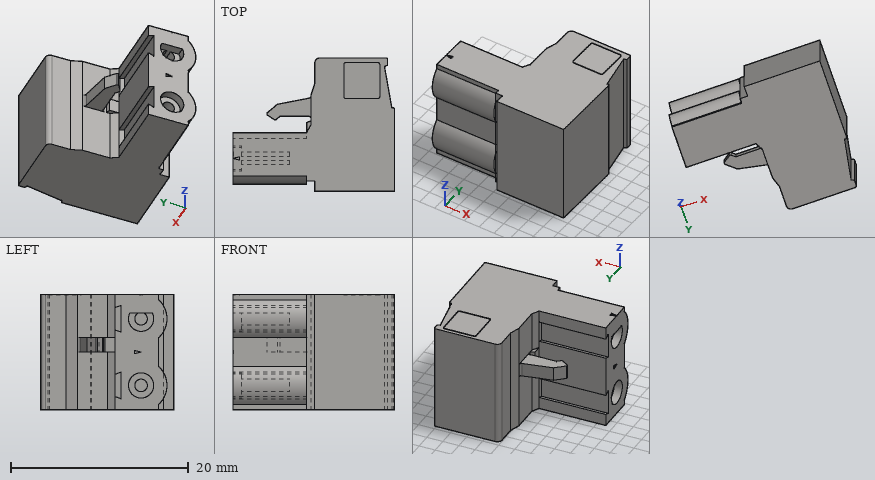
import cadquery as cq

length = 18.2
width = 15.0
height = 13.0

plug_length = 8.3
plug_top = 6.6
plug_bottom = 1.71
neck_bottom = 1.15
waist_x = 8.79
waist_bottom = 7.5
waist_top = 10.87
body_x = 9.21
shoulder_y = 12.14
corner_radius = 0.56
lip_x = 17.42
lip_bottom = 14.18
lip_corner_radius = 0.2
undercut_x = 17.07
undercut_y = 14.01
slope_x = 17.89
slope_y = 9.4
heel_corner_size = 0.11

pitch = 7.5
chamber_y = 3.7
lower_chamber_z = 2.75
chamber_z = [lower_chamber_z, lower_chamber_z + pitch]
entry_radius = 1.42
entry_depth = 1.0
bore_radius = 0.71
bore_depth = 6.37
bore_ceiling = 10.92
rib_radius = 2.91

groove_floor = 5.93
groove_mouth_width = 2.53
groove_floor_width = 3.0

latch_z = height / 2
latch_width = 1.65
latch_root_radius = 0.22
latch_root_overlap = 0.18
latch_arm_top = 10.48
latch_root_top = latch_arm_top + latch_root_radius
latch_arm_bottom = 8.4
latch_knee_x = 5.0
latch_knee_y = 9.8
latch_tip_x = 3.82
latch_tip_top = 8.79
latch_tip_bottom = 8.6
latch_hook_x = 4.77
latch_hook_y = 7.97
latch_hook_radius = 0.18
latch_catch_x = 5.3
stop_front_top = 7.74
stop_back_top = 7.92

mark_depth = 0.07
mark_length = 0.75
mark_half_width = 0.18
label_size = 4.04
label_x = 14.5
label_y = 12.45
label_corner_radius = 0.22


def make_body():
    return (
        cq.Workplane("XY")
        .moveTo(0, plug_bottom)
        .lineTo(plug_length, plug_bottom)
        .lineTo(plug_length, neck_bottom)
        .lineTo(body_x, neck_bottom)
        .lineTo(body_x, 0)
        .lineTo(length, 0)
        .lineTo(length, slope_y - heel_corner_size)
        .lineTo(length - heel_corner_size, slope_y)
        .lineTo(slope_x, slope_y)
        .lineTo(undercut_x, undercut_y)
        .lineTo(lip_x, lip_bottom)
        .lineTo(lip_x, width - lip_corner_radius)
        .tangentArcPoint((lip_x - lip_corner_radius, width), relative=False)
        .lineTo(body_x + corner_radius, width)
        .tangentArcPoint((body_x, width - corner_radius), relative=False)
        .lineTo(body_x, shoulder_y)
        .lineTo(waist_x, waist_top)
        .lineTo(waist_x, waist_bottom)
        .lineTo(plug_length, plug_top)
        .lineTo(0, plug_top)
        .close()
        .extrude(height)
    )


def x_cylinder(radius, depth, z):
    """Cylinder along +X from the plug face, on a chamber axis."""
    return cq.Workplane("YZ").center(chamber_y, z).circle(radius).extrude(depth)


def make_chamber(z):
    bore = x_cylinder(entry_radius, entry_depth, z).union(x_cylinder(bore_radius, bore_depth, z))
    below_ceiling = cq.Workplane("XY").box(length, width, bore_ceiling, centered=False)
    return bore.intersect(below_ceiling)


def make_groove(z):
    mouth = groove_mouth_width / 2
    floor = groove_floor_width / 2
    return (
        cq.Workplane("YZ")
        .polyline([
            (plug_top, z - mouth),
            (groove_floor, z - floor),
            (groove_floor, z + floor),
            (plug_top, z + mouth),
        ])
        .close()
        .extrude(plug_length)
    )


def make_latch():
    root_x = waist_x + latch_root_overlap
    fillet_x = waist_x - latch_root_radius
    plane = cq.Workplane("XY").workplane(offset=latch_z)
    arm = (
        plane.moveTo(root_x, latch_root_top)
        .lineTo(waist_x, latch_root_top)
        .radiusArc((fillet_x, latch_arm_top), latch_root_radius)
        .lineTo(latch_knee_x, latch_knee_y)
        .lineTo(latch_tip_x, latch_tip_top)
        .lineTo(latch_tip_x, latch_tip_bottom)
        .lineTo(latch_hook_x, latch_hook_y)
        .lineTo(latch_catch_x, latch_arm_bottom)
        .lineTo(fillet_x, latch_arm_bottom)
        .radiusArc((waist_x, latch_arm_bottom - latch_root_radius), latch_root_radius)
        .lineTo(root_x, latch_arm_bottom - latch_root_radius)
        .close()
        .extrude(latch_width)
    )
    hook_point = (latch_hook_x, latch_hook_y, latch_z + latch_width / 2)
    arm = arm.edges(cq.selectors.NearestToPointSelector(hook_point)).fillet(latch_hook_radius)
    stop = (
        plane.polyline([
            (root_x, plug_top),
            (plug_length, plug_top),
            (plug_length, stop_front_top),
            (waist_x, stop_back_top),
            (root_x, stop_back_top),
        ])
        .close()
        .extrude(latch_width)
    )
    return arm.union(stop)


def make_marks():
    """Pin-one triangles on the plug and the square label recess on top."""
    top_triangle = (
        cq.Workplane("XY")
        .workplane(offset=height - mark_depth)
        .polyline([
            (0, chamber_y),
            (mark_length, chamber_y - mark_half_width),
            (mark_length, chamber_y + mark_half_width),
        ])
        .close()
        .extrude(mark_depth)
    )
    face_triangle = (
        cq.Workplane("YZ")
        .polyline([
            (chamber_y, height / 2),
            (chamber_y + mark_length, height / 2 - mark_half_width),
            (chamber_y + mark_length, height / 2 + mark_half_width),
        ])
        .close()
        .extrude(mark_depth)
    )
    label = (
        cq.Workplane("XY")
        .workplane(offset=height - mark_depth)
        .center(label_x, label_y)
        .rect(label_size, label_size)
        .extrude(mark_depth)
        .edges("|Z")
        .fillet(label_corner_radius)
    )
    return top_triangle.union(face_triangle).union(label)


def make_rib(z):
    """Round rib on the -Y side of the plug, concentric with a chamber."""
    lower_half = cq.Workplane("XY").box(plug_length, chamber_y, height, centered=False)
    return x_cylinder(rib_radius, plug_length, z).intersect(lower_half)


result = make_body().union(make_latch())
for z in chamber_z:
    result = result.union(make_rib(z))
for z in chamber_z:
    result = result.cut(make_chamber(z)).cut(make_groove(z))
result = result.cut(make_marks())